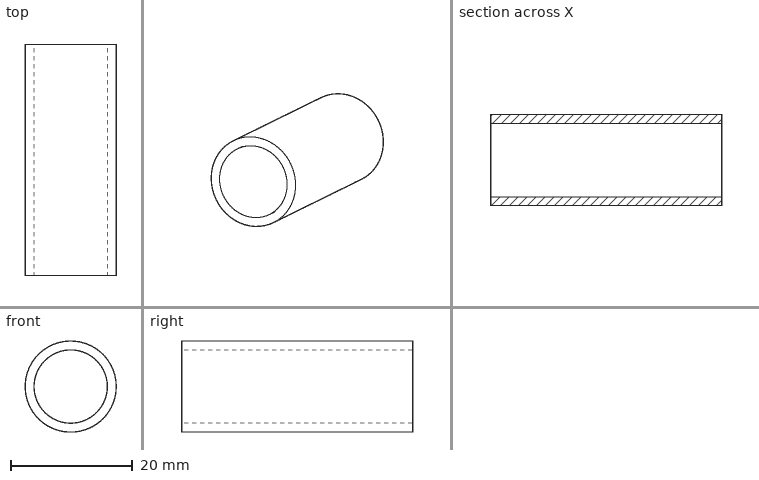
import cadquery as cq

length = 38.0
outer_diameter = 15.0
bore_diameter = 12.0

result = (
    cq.Workplane("XZ", origin=(0, length / 2, 0))
    .circle(outer_diameter / 2)
    .circle(bore_diameter / 2)
    .extrude(length)
)